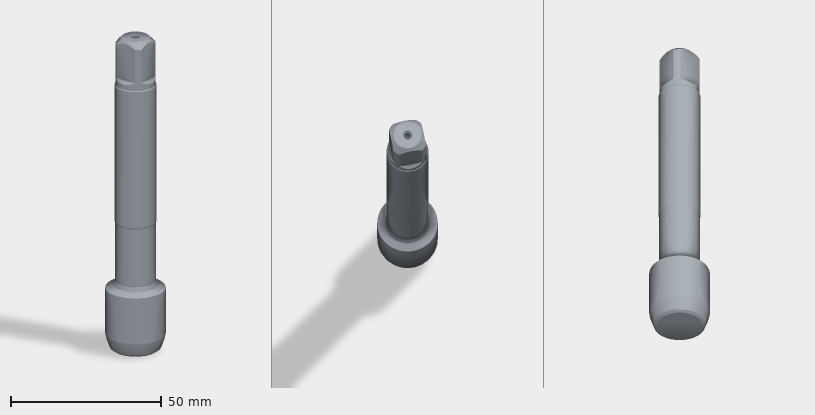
import cadquery as cq
import math

total_length = 112.0
head_diameter = 20.2
neck_diameter = 13.7
shank_diameter = 14.0
drive_diameter = 13.4

tip_edge_height = 0.2
tip_chamfer_top = 0.9
lead_top = 5.6
head_top = 22.1
collar_top = 23.4
neck_bottom = 24.8
neck_top = 45.4
shank_bottom = 46.1
shank_top = 94.9
drive_bottom = 95.2

tip_radius = 7.7
lead_bottom_radius = 8.6
lead_middle_radius = 9.5
collar_radius = 7.5

square_width = 11.0
square_length = 14.0
top_face_diameter = 9.2
top_chamfer_angle = 45.0
flat_runout_angle = 40.0

center_hole_diameter = 2.0
center_hole_depth = 2.8
countersink_diameter = 3.2
countersink_half_angle = 30.0
drill_point_half_angle = 60.0


def make_head():
    """Thick working end with a rounded lead and a chamfered, slightly conical tip."""
    head_radius = head_diameter / 2
    lead_middle = (lead_middle_radius, (tip_chamfer_top + lead_top) / 2)
    return (
        cq.Workplane("XZ")
        .lineTo(tip_radius, tip_edge_height)
        .lineTo(lead_bottom_radius, tip_chamfer_top)
        .threePointArc(lead_middle, (head_radius, lead_top))
        .lineTo(head_radius, head_top)
        .lineTo(0, head_top)
        .close()
        .revolve(360, (0, 0), (0, 1))
    )


def make_shank_blank():
    """Turned shank: conical collar, neck, cylindrical shank and drive end."""
    top_radius = top_face_diameter / 2
    drive_radius = drive_diameter / 2
    top_chamfer_height = (drive_radius - top_radius) * math.tan(math.radians(top_chamfer_angle))
    profile = [
        (0, head_top),
        (head_diameter / 2, head_top),
        (collar_radius, collar_top),
        (neck_diameter / 2, neck_bottom),
        (neck_diameter / 2, neck_top),
        (shank_diameter / 2, shank_bottom),
        (shank_diameter / 2, shank_top),
        (drive_radius, drive_bottom),
        (drive_radius, total_length - top_chamfer_height),
        (top_radius, total_length),
        (0, total_length),
    ]
    return cq.Workplane("XZ").polyline(profile).close().revolve(360, (0, 0), (0, 1))


def make_flat_cutter():
    """Cutter for the flat on the +X side, with a sloping runout at its lower end."""
    flat_x = square_width / 2
    outer_x = shank_diameter / 2
    flat_bottom = total_length - square_length
    runout_drop = (outer_x - flat_x) * math.tan(math.radians(flat_runout_angle))
    return (
        cq.Workplane("XZ")
        .moveTo(flat_x, total_length)
        .lineTo(flat_x, flat_bottom)
        .lineTo(outer_x, flat_bottom - runout_drop)
        .lineTo(outer_x, total_length)
        .close()
        .extrude(shank_diameter / 2, both=True)
    )


def make_center_hole():
    """Countersunk blind hole with a conical bottom, on the axis of the top face."""
    radius = center_hole_diameter / 2
    hole_bottom = total_length - center_hole_depth
    point_depth = radius / math.tan(math.radians(drill_point_half_angle))
    countersink_radius = countersink_diameter / 2
    countersink_depth = (countersink_radius - radius) / math.tan(math.radians(countersink_half_angle))
    return (
        cq.Workplane("XZ")
        .moveTo(0, total_length)
        .lineTo(countersink_radius, total_length)
        .lineTo(radius, total_length - countersink_depth)
        .lineTo(radius, hole_bottom)
        .lineTo(0, hole_bottom - point_depth)
        .close()
        .revolve(360, (0, 0), (0, 1))
    )


def make_shank():
    """Shank with four drive flats and a centre hole."""
    shank = make_shank_blank()
    flat_cutter = make_flat_cutter()
    for angle in (0, 90, 180, 270):
        shank = shank.cut(flat_cutter.rotate((0, 0, 0), (0, 0, 1), angle))
    return shank.cut(make_center_hole())


head = make_head()
shank = make_shank()

result = cq.Compound.makeCompound([head.val(), shank.val()])